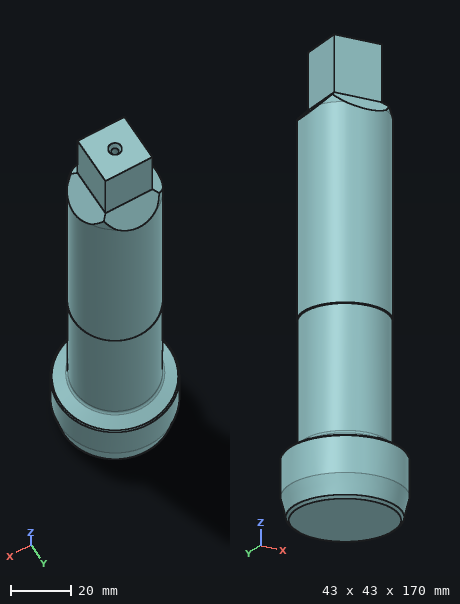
import cadquery as cq
import math

total_length = 170.0

head_diameter = 43.0
head_height = 22.1
lead_height = 8.3
lead_end_radius = 19.7
end_chamfer = 1.0
rim_chamfer = 0.5

collar_angle = 30.0
collar_fillet = 1.4
neck_diameter = 31.6
shank_diameter = 32.0
neck_top = 71.5
neck_taper_height = 0.3
square_size = 18.2
square_height = 20.9
corner_chamfer_bottom = 144.3
corner_chamfer_width = 0.8
corner_chamfer_height = 3.2

hole_diameter = 2.5
hole_depth = 6.8
hole_tip_angle = 118.0
countersink_diameter = 4.6
countersink_angle = 60.0

head_radius = head_diameter / 2
collar_radius = head_radius - rim_chamfer
neck_radius = neck_diameter / 2
shank_radius = shank_diameter / 2
square_base = total_length - square_height
shoulder_drop = shank_radius - square_size / 2
shoulder_bottom = square_base - shoulder_drop
collar_top = head_height + (collar_radius - neck_radius) * math.tan(math.radians(collar_angle))
corner_chamfer_top = corner_chamfer_bottom + corner_chamfer_height


def revolve_profile(profile):
    """Turn a closed radius-height outline about the Z axis."""
    return profile.close().revolve(360, (0, 0, 0), (0, 1, 0))


def make_head():
    profile = (
        cq.Workplane("XZ")
        .lineTo(lead_end_radius - end_chamfer, 0)
        .lineTo(lead_end_radius, end_chamfer)
        .lineTo(head_radius, lead_height)
        .lineTo(head_radius, head_height - rim_chamfer)
        .lineTo(head_radius - rim_chamfer, head_height)
        .lineTo(0, head_height)
    )
    return revolve_profile(profile)


def make_collar_and_neck():
    profile = (
        cq.Workplane("XZ")
        .moveTo(0, head_height)
        .lineTo(collar_radius, head_height)
        .lineTo(neck_radius, collar_top)
        .lineTo(neck_radius, neck_top)
        .lineTo(0, neck_top)
    )
    root_edge = cq.selectors.NearestToPointSelector((0, 0, collar_top))
    return revolve_profile(profile).edges(root_edge).fillet(collar_fillet)


def make_main_cylinder():
    """Cylinder flaring from the neck, with a steep top chamfer left only at the shoulder corners."""
    chamfer_radius = shank_radius - corner_chamfer_width
    profile = (
        cq.Workplane("XZ")
        .moveTo(0, neck_top)
        .lineTo(neck_radius, neck_top)
        .lineTo(shank_radius, neck_top + neck_taper_height)
        .lineTo(shank_radius, corner_chamfer_bottom)
        .lineTo(chamfer_radius, corner_chamfer_top)
        .lineTo(chamfer_radius, square_base)
        .lineTo(0, square_base)
    )
    return revolve_profile(profile)


def make_shoulder_envelope():
    """Square block below a four-sided 45 degree pyramid ending at the square drive."""
    block = (
        cq.Workplane("XY", origin=(0, 0, neck_top))
        .rect(shank_diameter, shank_diameter)
        .extrude(shoulder_bottom - neck_top)
    )
    pyramid = (
        cq.Workplane("XY", origin=(0, 0, shoulder_bottom))
        .rect(shank_diameter, shank_diameter)
        .workplane(offset=shoulder_drop)
        .rect(square_size, square_size)
        .loft(combine=True)
    )
    return block.union(pyramid)


def make_square_drive():
    return (
        cq.Workplane("XY", origin=(0, 0, square_base))
        .rect(square_size, square_size)
        .extrude(square_height)
    )


def make_centre_hole():
    """Countersunk blind hole with a conical drill tip."""
    hole_radius = hole_diameter / 2
    countersink_radius = countersink_diameter / 2
    countersink_depth = (countersink_radius - hole_radius) / math.tan(math.radians(countersink_angle / 2))
    tip_depth = hole_radius / math.tan(math.radians(hole_tip_angle / 2))
    hole_bottom = total_length - hole_depth
    profile = (
        cq.Workplane("XZ")
        .moveTo(0, total_length)
        .lineTo(countersink_radius, total_length)
        .lineTo(hole_radius, total_length - countersink_depth)
        .lineTo(hole_radius, hole_bottom)
        .lineTo(0, hole_bottom - tip_depth)
    )
    return revolve_profile(profile)


def make_shank():
    main_cylinder = make_main_cylinder().intersect(make_shoulder_envelope())
    return (
        make_collar_and_neck()
        .union(main_cylinder)
        .union(make_square_drive())
        .cut(make_centre_hole())
    )


head = make_head()
shank = make_shank()
result = cq.Compound.makeCompound([head.val(), *shank.solids().vals()])